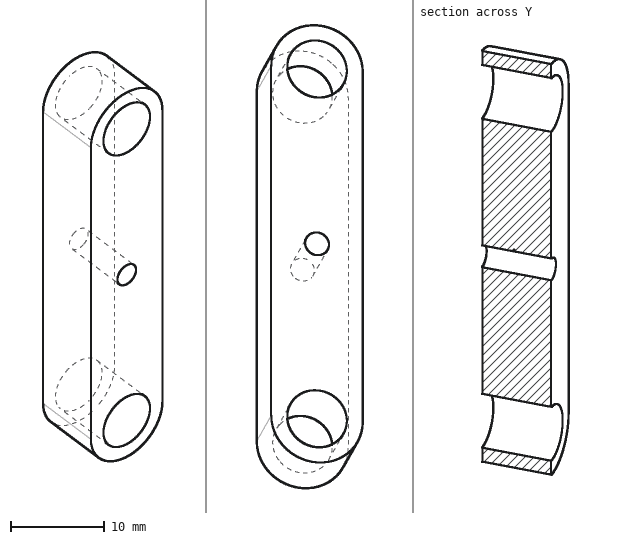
import cadquery as cq

thickness = 8.0
width = 10.0
length = 50.0

end_hole_diameter = 6.5
center_hole_diameter = 2.6

end_hole_offset = (length - width) / 2

link = cq.Workplane("YZ").slot2D(length, width, angle=90).extrude(thickness / 2, both=True)

link = (
    link.faces("<X").workplane(origin=(0, 0, 0))
    .pushPoints([(0, -end_hole_offset), (0, end_hole_offset)])
    .hole(end_hole_diameter)
)

link = link.faces("<X").workplane(origin=(0, 0, 0)).hole(center_hole_diameter)

result = link